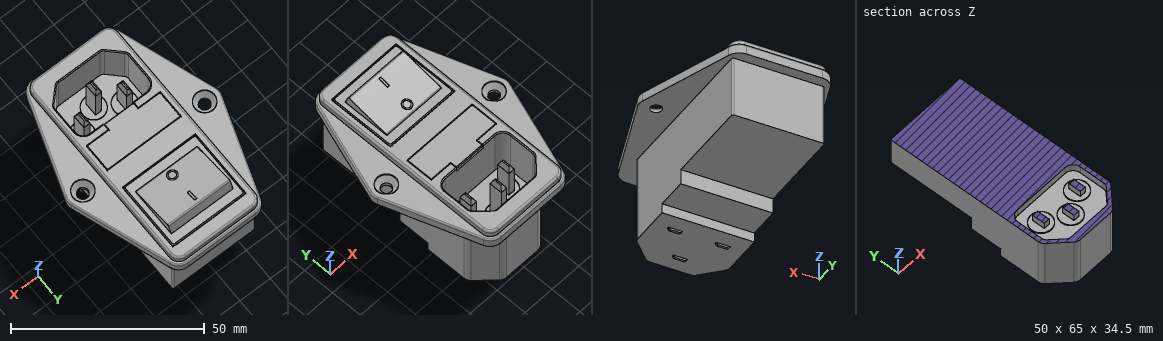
import cadquery as cq


flange_length = 65.0
flange_width = 50.0
flange_thickness = 3.0
flange_corner_radius = 4.0
flange_end_half_flat = 11.1
flange_edge_radius = 0.45
screw_offset = 20.0
screw_hole_diameter = 3.25
screw_head_diameter = 6.3
screw_head_recess = 0.4

face_length = 63.0
face_width = 28.0
face_height = 2.2
face_corner_radius = 3.0
face_edge_radius = 0.65
face_top = flange_thickness + face_height

body_width = 27.2
body_length = 58.6
body_depth = 25.35
middle_depth = 22.5
switch_end_depth = 18.0
middle_step_y = 1.5
inlet_step_y = -8.6
body_chamfer = 6.7
body_chamfer_radius = 2.5
body_back_radius = 0.5

bezel_width = 24.0
bezel_length = 21.05
bezel_center_y = 16.85
bezel_bevel = 0.4
bezel_corner_radius = 1.0
bezel_depth = 1.0

rocker_width = 20.3
rocker_back_y = 24.3
rocker_front_y = 9.35
rocker_peak_y = 23.1
rocker_peak_height = 3.4
rocker_front_height = 0.3
rocker_dish = 0.1
rocker_peak_radius = 0.4
rocker_front_radius = 0.3

mark_height = 0.1
on_mark_width = 0.7
on_mark_length = 3.05
on_mark_y = 20.1
off_mark_diameter = 3.0
off_mark_inner_diameter = 2.15
off_mark_y = 11.9

socket_width = 24.1
socket_back_y = -10.65
socket_front_y = -26.85
socket_depth = 16.25
socket_back_radius = 2.8
socket_chamfer = 4.6
socket_chamfer_radius = 1.6
socket_rim_bevel = 0.3

drawer_opening_width = 24.3
drawer_back_y = 0.25
drawer_front_y = -8.5
drawer_gap = 0.2
drawer_gap_depth = 1.0
tab_opening_width = 9.9
tab_front_y = -10.35
tab_ledge_bevel = 0.3

pin_spacing = 7.0
line_pin_y = -16.8
earth_pin_y = -20.8
pin_width = 2.0
pin_length = 4.0
line_pin_height = 11.95
earth_pin_height = 14.95
pin_tip_inset = 0.8
pin_tip_height = 1.7
pad_diameter = 7.0
pad_height = 0.3
pins_layout = [
    (-pin_spacing, line_pin_y, line_pin_height),
    (0, earth_pin_y, earth_pin_height),
    (pin_spacing, line_pin_y, line_pin_height),
]

tab_centers = [(-pin_spacing, -13.7), (0, -23.9), (pin_spacing, -13.7)]
solder_tab_width = 4.1
solder_tab_tip_width = 3.1
solder_tab_thickness = 0.65
solder_tab_height = 0.6


def block(width, y_front, y_back, z_bottom, z_top):
    """Box centred on X = 0 between the given Y and Z limits."""
    return cq.Workplane("XY").box(width, y_back - y_front, z_top - z_bottom, centered=False).translate(
        (-width / 2, y_front, z_bottom)
    )


def inlet_prism(blank, chamfer, chamfer_radius, back_radius):
    """Give a block the inlet outline: large softened chamfers in front and rounded corners at the back."""
    return (
        blank.edges("|Z and <Y")
        .chamfer(chamfer)
        .edges("|Z and (not >Y)")
        .fillet(chamfer_radius)
        .edges("|Z and >Y")
        .fillet(back_radius)
    )


def make_flange():
    corner_x = flange_end_half_flat
    corner_y = flange_length / 2 - flange_corner_radius
    tip_x = flange_width / 2 - flange_corner_radius
    corner_centers = [
        (corner_x, corner_y),
        (tip_x, 0),
        (corner_x, -corner_y),
        (-corner_x, -corner_y),
        (-tip_x, 0),
        (-corner_x, corner_y),
    ]
    plate = (
        cq.Workplane("XY")
        .polyline(corner_centers)
        .close()
        .offset2D(flange_corner_radius)
        .extrude(flange_thickness)
        .faces(">Z")
        .edges()
        .fillet(flange_edge_radius)
    )
    hole_radius = screw_hole_diameter / 2
    head_radius = screw_head_diameter / 2
    recess_z = flange_thickness - screw_head_recess
    screw_hole = (
        cq.Workplane("XZ")
        .lineTo(hole_radius, 0)
        .lineTo(hole_radius, recess_z - (head_radius - hole_radius))
        .lineTo(head_radius, recess_z)
        .lineTo(head_radius, flange_thickness)
        .lineTo(0, flange_thickness)
        .close()
        .revolve()
    )
    for x in (-screw_offset, screw_offset):
        plate = plate.cut(screw_hole.translate((x, 0, 0)))
    return plate


def make_face_plate():
    return (
        block(face_width, -face_length / 2, face_length / 2, 0, face_top)
        .edges("|Z")
        .fillet(face_corner_radius)
        .faces(">Z")
        .edges()
        .fillet(face_edge_radius)
    )


def make_body():
    y_front = -body_length / 2
    y_back = body_length / 2
    outline = inlet_prism(
        block(body_width, y_front, y_back, -body_depth, 0),
        body_chamfer,
        body_chamfer_radius,
        body_back_radius,
    )
    middle_cut = block(body_width, inlet_step_y, y_back, -body_depth, -middle_depth)
    switch_cut = block(body_width, middle_step_y, y_back, -body_depth, -switch_end_depth)
    return outline.cut(middle_cut).cut(switch_cut)


def make_bezel_gap():
    y_front = bezel_center_y - bezel_length / 2
    y_back = bezel_center_y + bezel_length / 2
    z_floor = face_top - bezel_depth
    bezel = (
        block(bezel_width, y_front, y_back, z_floor, face_top)
        .edges("|Z")
        .fillet(bezel_corner_radius)
        .faces(">Z")
        .edges()
        .chamfer(bezel_bevel)
    )
    return block(bezel_width, y_front, y_back, z_floor, face_top).cut(bezel)


def make_rocker():
    peak_z = face_top + rocker_peak_height
    front_z = face_top + rocker_front_height
    dish_y = (rocker_peak_y + rocker_front_y) / 2
    dish_z = (peak_z + front_z) / 2 - rocker_dish
    return (
        cq.Workplane("YZ", origin=(-rocker_width / 2, 0, 0))
        .moveTo(rocker_front_y, flange_thickness)
        .lineTo(rocker_front_y, front_z)
        .threePointArc((dish_y, dish_z), (rocker_peak_y, peak_z))
        .lineTo(rocker_back_y, face_top)
        .lineTo(rocker_back_y, flange_thickness)
        .close()
        .extrude(rocker_width)
        .edges("|X and >Z")
        .fillet(rocker_peak_radius)
        .edges(cq.selectors.NearestToPointSelector((0, rocker_front_y, front_z)))
        .fillet(rocker_front_radius)
    )


def make_marks(rocker):
    """On and off marks that follow the dished top of the rocker."""
    column_height = face_top + rocker_peak_height + mark_height
    bar = (
        cq.Workplane("XY")
        .center(0, on_mark_y)
        .rect(on_mark_width, on_mark_length)
        .extrude(column_height)
    )
    ring = (
        cq.Workplane("XY")
        .center(0, off_mark_y)
        .circle(off_mark_diameter / 2)
        .circle(off_mark_inner_diameter / 2)
        .extrude(column_height)
    )
    return bar.union(ring).intersect(rocker.translate((0, 0, mark_height)))


def make_socket():
    pocket = inlet_prism(
        block(socket_width, socket_front_y, socket_back_y, face_top - socket_depth, face_top),
        socket_chamfer,
        socket_chamfer_radius,
        socket_back_radius,
    )
    rim = (
        pocket.faces(">Z")
        .wires()
        .toPending()
        .offset2D(socket_rim_bevel)
        .extrude(-socket_rim_bevel, taper=45)
    )
    return pocket.union(rim)


def make_drawer_gap():
    z_floor = face_top - drawer_gap_depth
    opening = block(drawer_opening_width, drawer_front_y, drawer_back_y, z_floor, face_top).union(
        block(tab_opening_width, socket_back_y, drawer_front_y, z_floor, face_top)
    )
    drawer = block(
        drawer_opening_width - 2 * drawer_gap,
        drawer_front_y + drawer_gap,
        drawer_back_y - drawer_gap,
        z_floor,
        face_top,
    ).union(
        block(
            tab_opening_width - 2 * drawer_gap,
            tab_front_y,
            drawer_front_y + drawer_gap,
            z_floor,
            face_top,
        )
    )
    ledge_bevel = (
        cq.Workplane("YZ", origin=(-tab_opening_width / 2, 0, 0))
        .moveTo(tab_front_y, z_floor)
        .lineTo(socket_back_y, z_floor)
        .lineTo(socket_back_y, z_floor - tab_ledge_bevel)
        .close()
        .extrude(tab_opening_width)
    )
    return opening.cut(drawer).union(ledge_bevel)


def make_blade(height):
    return (
        cq.Workplane("XY")
        .rect(pin_width, pin_length)
        .extrude(height - pin_tip_height)
        .faces(">Z")
        .workplane()
        .rect(pin_width, pin_length)
        .workplane(offset=pin_tip_height)
        .rect(pin_width - 2 * pin_tip_inset, pin_length - 2 * pin_tip_inset)
        .loft()
    )


def make_pins():
    pad = cq.Workplane("XY").circle(pad_diameter / 2).extrude(pad_height)
    pins = cq.Workplane("XY")
    for x, y, height in pins_layout:
        pin = pad.union(make_blade(height))
        pins = pins.add(pin.translate((x, y, face_top - socket_depth)))
    return pins.combine()


def make_solder_tabs():
    tab = (
        cq.Workplane("XZ")
        .moveTo(-solder_tab_width / 2, -body_depth)
        .lineTo(solder_tab_width / 2, -body_depth)
        .lineTo(solder_tab_tip_width / 2, -body_depth - solder_tab_height)
        .lineTo(-solder_tab_tip_width / 2, -body_depth - solder_tab_height)
        .close()
        .extrude(solder_tab_thickness / 2, both=True)
    )
    tabs = cq.Workplane("XY")
    for x, y in tab_centers:
        tabs = tabs.add(tab.translate((x, y, 0)))
    return tabs.combine()


rocker = make_rocker()
housing = make_flange().union(make_face_plate()).union(make_body())
housing = housing.cut(make_bezel_gap()).cut(make_socket()).cut(make_drawer_gap())
result = housing.union(rocker).union(make_marks(rocker)).union(make_pins()).union(make_solder_tabs())